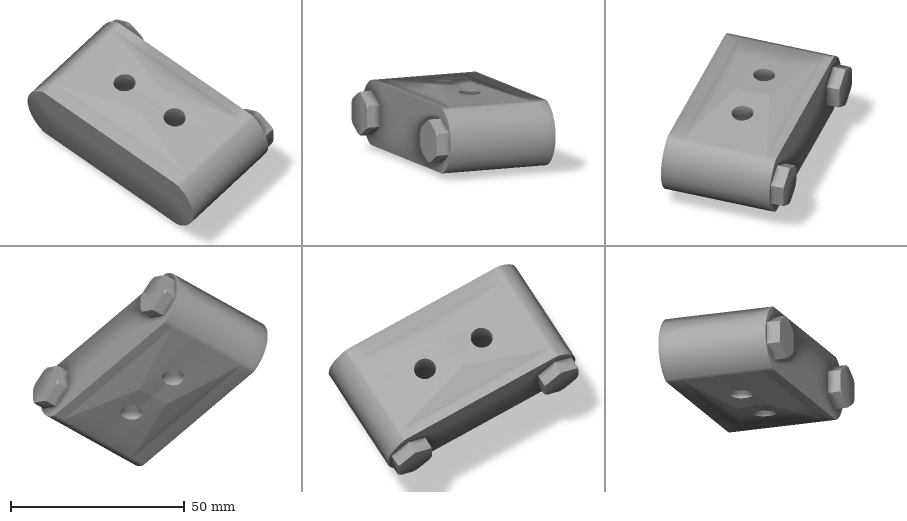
import cadquery as cq
import math

length = 63.2
body_depth = 33.1
body_half_height = 9.55
flat_half_length = 25.15
arc_end_x = 25.95
arc_end_z = 9.3

pad_center_y = 17.3
pad_half_length = 25.0
pad_half_width = 12.75
ridge_half_width = 5.05
pad_top_z = 11.45
groove_depth = 0.4

hole_diameter = 6.3
hole_spacing = 19.1

head_spacing = 49.2
head_flats = 11.25
head_height = 3.9
head_chamfer = 0.45
head_corners = head_flats / math.cos(math.pi / 6)


def make_body():
    tip = length / 2
    return (
        cq.Workplane("XZ")
        .moveTo(-flat_half_length, body_half_height)
        .lineTo(flat_half_length, body_half_height)
        .lineTo(arc_end_x, arc_end_z)
        .threePointArc((tip, 0), (arc_end_x, -arc_end_z))
        .lineTo(flat_half_length, -body_half_height)
        .lineTo(-flat_half_length, -body_half_height)
        .lineTo(-arc_end_x, -arc_end_z)
        .threePointArc((-tip, 0), (-arc_end_x, arc_end_z))
        .close()
        .extrude(-body_depth)
    )


def groove_section(x, edge_z, valley_z):
    """Cross-section of the space above the shallow V groove at a given X."""
    clear_z = pad_top_z + 0.65
    points = [
        (-ridge_half_width, edge_z),
        (0, valley_z),
        (ridge_half_width, edge_z),
        (ridge_half_width, clear_z),
        (-ridge_half_width, clear_z),
    ]
    vectors = [cq.Vector(x, pad_center_y + y, z) for y, z in points]
    return cq.Wire.makePolygon(vectors, close=True)


def make_pad():
    gable = (
        cq.Workplane("XZ", origin=(0, pad_center_y - pad_half_width, 0))
        .polyline([
            (-pad_half_length, 0),
            (-pad_half_length, body_half_height),
            (0, pad_top_z),
            (pad_half_length, body_half_height),
            (pad_half_length, 0),
        ])
        .close()
        .extrude(-2 * pad_half_width)
    )
    trapezoid = (
        cq.Workplane("YZ", origin=(0, pad_center_y, 0))
        .polyline([
            (-pad_half_width, 0),
            (-pad_half_width, body_half_height),
            (-ridge_half_width, pad_top_z),
            (ridge_half_width, pad_top_z),
            (pad_half_width, body_half_height),
            (pad_half_width, 0),
        ])
        .close()
        .extrude(pad_half_length, both=True)
    )
    pad = gable.intersect(trapezoid)

    middle = groove_section(0, pad_top_z, pad_top_z - groove_depth)
    for side in (-1, 1):
        end = groove_section(side * pad_half_length, body_half_height, body_half_height)
        pad = pad.cut(cq.Workplane(cq.Solid.makeLoft([middle, end], True)))
    return pad


def make_head(x):
    back = cq.Workplane("XZ", origin=(x, body_depth, 0))
    hexagon = (
        back.transformed(rotate=(0, 0, 90))
        .polygon(6, head_corners)
        .extrude(-head_height)
    )
    turned_blank = (
        back.circle(head_corners / 2)
        .extrude(-head_height)
        .faces(">Y")
        .chamfer(head_chamfer)
    )
    return hexagon.intersect(turned_blank)


pad = make_pad()
result = make_body().union(pad).union(pad.mirror("XY"))

for side in (-1, 1):
    result = result.union(make_head(side * head_spacing / 2))

holes = (
    cq.Workplane("XY", origin=(0, pad_center_y, -pad_top_z))
    .pushPoints([(-hole_spacing / 2, 0), (hole_spacing / 2, 0)])
    .circle(hole_diameter / 2)
    .extrude(2 * pad_top_z)
)
result = result.cut(holes)